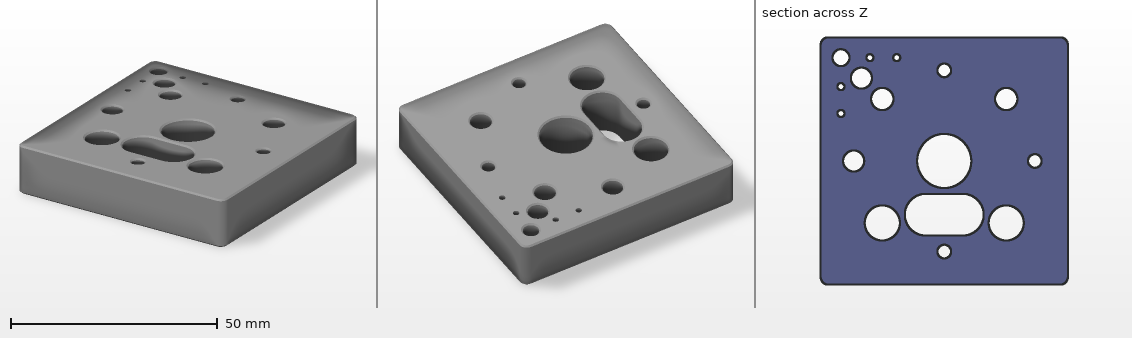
import cadquery as cq
import math

side = 60.0
thickness = 12.7
corner_radius = 2.0
edge_chamfer = 0.4

bore_diameter = 13.0
slot_length = 19.0
slot_width = 10.0
slot_y = -13.0

square_offset = 15.0
square_large_diameter = 8.4
square_small_diameter = 5.3

cross_spacing = 31.0
cross_offset = cross_spacing / math.sqrt(2)
cross_large_diameter = 5.0
cross_small_diameter = 3.2

corner_hole_offset = 25.0
corner_hole_diameter = 4.0
diagonal_spacing = 7.0
diagonal_hole_offset = corner_hole_offset - diagonal_spacing / math.sqrt(2)
diagonal_hole_diameter = 5.0
pin_hole_diameter = 1.6
pin_hole_offsets = (18.0, 11.5)

chamfered_holes = [
    (bore_diameter, [(0, 0)]),
    (square_large_diameter, [(-square_offset, -square_offset), (square_offset, -square_offset)]),
    (square_small_diameter, [(-square_offset, square_offset), (square_offset, square_offset)]),
    (cross_large_diameter, [(-cross_offset, 0)]),
    (cross_small_diameter, [(cross_offset, 0), (0, cross_offset), (0, -cross_offset)]),
    (corner_hole_diameter, [(-corner_hole_offset, corner_hole_offset)]),
    (diagonal_hole_diameter, [(-diagonal_hole_offset, diagonal_hole_offset)]),
]


def make_plate():
    """Square plate with rounded upright corners."""
    plate = cq.Workplane("XY").rect(side, side).extrude(thickness)
    return plate.edges("|Z").fillet(corner_radius)


def chamfer_bottom_rim(plate):
    """Chamfer the outer bottom edge while the bottom face has no openings."""
    return plate.faces("<Z").edges().chamfer(edge_chamfer)


def cut_round_holes(plate, diameter, centres):
    """Straight through holes of one diameter."""
    holes = cq.Workplane("XY").pushPoints(centres).circle(diameter / 2).extrude(thickness)
    return plate.cut(holes)


def cut_slot(plate):
    """Round-ended through slot, long along X."""
    slot = cq.Workplane("XY").center(0, slot_y).slot2D(slot_length, slot_width).extrude(thickness)
    return plate.cut(slot)


def chamfer_top(plate):
    """Chamfer the outer top edge and the mouth of every opening cut so far."""
    return plate.faces(">Z").edges().chamfer(edge_chamfer)


def cut_pin_holes(plate):
    """Plain small holes in a row along each of the two edges meeting at the corner hole."""
    centres = []
    for offset in pin_hole_offsets:
        centres.append((-corner_hole_offset, offset))
        centres.append((-offset, corner_hole_offset))
    return cut_round_holes(plate, pin_hole_diameter, centres)


result = chamfer_bottom_rim(make_plate())
for hole_diameter, hole_centres in chamfered_holes:
    result = cut_round_holes(result, hole_diameter, hole_centres)
result = cut_slot(result)
result = chamfer_top(result)
result = cut_pin_holes(result)